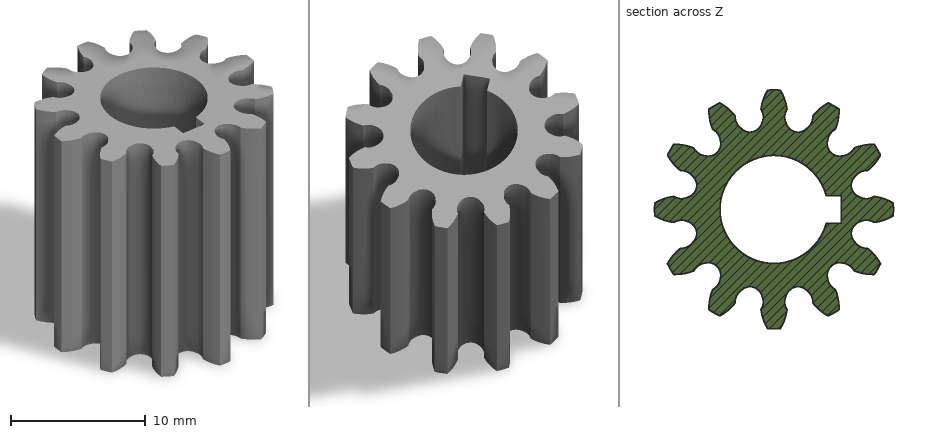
import cadquery as cq
import math

length = 19.05
outer_diameter = 17.81
tooth_count = 12

tip_radius = outer_diameter / 2
tip_half_width = 0.48
tip_corner_x = math.sqrt(tip_radius**2 - tip_half_width**2)
flank_middle_x = 8.23
flank_middle_half_width = 0.8
flank_root_x = 7.45
flank_root_half_width = 1.0
neck_middle_x = 6.85
neck_middle_half_width = 0.82
neck_root_x = 6.44
neck_root_half_width = 0.91

root_radius = 6.0

bore_diameter = 8.0
keyway_width = 2.0
keyway_depth_from_axis = 5.0

tooth_pitch = 2 * math.pi / tooth_count


def turned(x, y, angle):
    """Point (x, y) turned about the gear axis."""
    return (
        x * math.cos(angle) - y * math.sin(angle),
        x * math.sin(angle) + y * math.cos(angle),
    )


def gear_body():
    outline = cq.Workplane("XY").moveTo(neck_root_x, -neck_root_half_width)
    for index in range(tooth_count):
        angle = index * tooth_pitch
        next_angle = angle + tooth_pitch
        outline = (
            outline
            .threePointArc(
                turned(neck_middle_x, -neck_middle_half_width, angle),
                turned(flank_root_x, -flank_root_half_width, angle),
            )
            .threePointArc(
                turned(flank_middle_x, -flank_middle_half_width, angle),
                turned(tip_corner_x, -tip_half_width, angle),
            )
            .threePointArc(
                turned(tip_radius, 0, angle),
                turned(tip_corner_x, tip_half_width, angle),
            )
            .threePointArc(
                turned(flank_middle_x, flank_middle_half_width, angle),
                turned(flank_root_x, flank_root_half_width, angle),
            )
            .threePointArc(
                turned(neck_middle_x, neck_middle_half_width, angle),
                turned(neck_root_x, neck_root_half_width, angle),
            )
            .threePointArc(
                turned(root_radius, 0, angle + tooth_pitch / 2),
                turned(neck_root_x, -neck_root_half_width, next_angle),
            )
        )
    return outline.close().extrude(length)


def bore_with_keyway():
    bore = cq.Workplane("XY").circle(bore_diameter / 2).extrude(length)
    keyway = cq.Workplane("XY").box(
        keyway_depth_from_axis, keyway_width, length, centered=(False, True, False)
    )
    return bore.union(keyway)


result = gear_body().cut(bore_with_keyway())